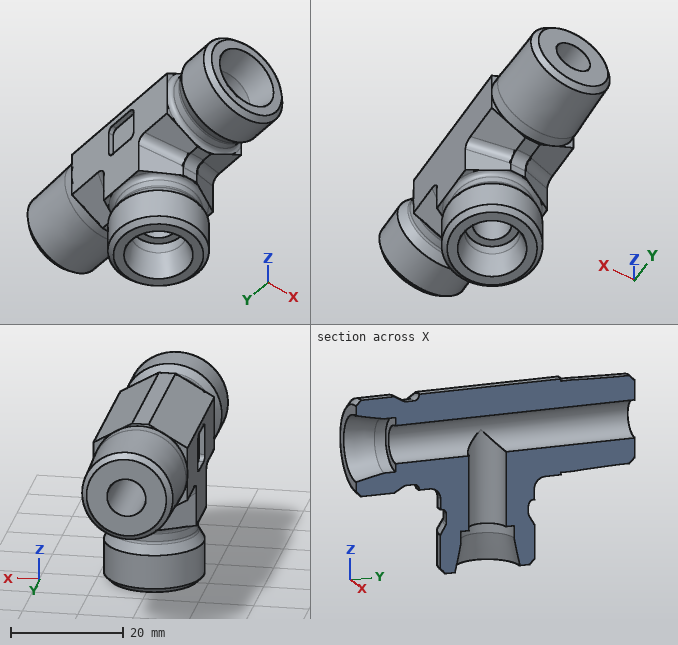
import cadquery as cq
import math


ACROSS_FLATS = 17.0
BODY_HEIGHT = 17.9
SHOULDER = 13.0
TAPER_SHOULDER = 14.0
CROTCH_RADIUS = 2.0

TUBE_END = 25.0
TUBE_END_RADIUS = 18 / 2
TUBE_END_CHAMFER = 1.0
NECK_RADIUS = 15.7 / 2
NECK_FILLET = 1.0
NECK_LENGTH = 2.7
NECK_CONE_ANGLE = 30
CONE_BLEND_RADIUS = 1.0

RUN_LENGTH = 53
TAPER_END = RUN_LENGTH - TUBE_END
TAPER_RADIUS = 17.1 / 2
TAPER_STRAIGHT_LENGTH = 2.0
TAPER_SLOPE = 1 / 32
TAPER_CHAMFER = 1.0

BORE_RADIUS = 7.0 / 2
SOCKET_RADIUS = 10.0 / 2
SOCKET_DEPTH = 7.5
SOCKET_MOUTH_RADIUS = 12.3 / 2
SOCKET_CONE_ANGLE = 12

RECESS_SIZE = 7.0
RECESS_CORNER = 1.0
RECESS_DEPTH = 1.0


def on_branch(solid):
    """Turn a solid built along -Y so that it points along -Z."""
    return solid.rotate((0, 0, 0), (1, 0, 0), 90)


def flattened_hexagon(start, end):
    """Bar along Y: a hexagon whose top and bottom corners are cut flat."""
    half_width = ACROSS_FLATS / 2
    half_height = BODY_HEIGHT / 2
    hexagon_slope = math.radians(30)
    slope = math.tan(hexagon_slope)
    side = half_width * slope
    corner = half_width / math.cos(hexagon_slope)
    flat = (corner - half_height) / slope
    return (
        cq.Workplane("XZ", origin=(0, start, 0))
        .polyline([
            (half_width, -side), (half_width, side), (flat, half_height), (-flat, half_height),
            (-half_width, side), (-half_width, -side), (-flat, -half_height), (flat, -half_height),
        ])
        .close()
        .extrude(start - end)
    )


def is_crotch_edge(edge):
    """True for the edges where run and branch meet, all in the two 45 degree planes below the run."""
    ends = (edge.startPoint(), edge.endPoint())
    return all(math.isclose(point.z, -abs(point.y), abs_tol=5.3e-05) for point in ends)


def make_body():
    run = flattened_hexagon(TAPER_SHOULDER, -SHOULDER)
    branch = on_branch(flattened_hexagon(0, -SHOULDER))
    body = run.union(branch)
    crotch_edges = [edge for edge in body.edges().vals() if is_crotch_edge(edge)]
    return body.newObject(crotch_edges).fillet(CROTCH_RADIUS)


def make_neck_fillet():
    """Concave ring between shoulder and neck, trimmed to the outline of the body."""
    arc_middle = NECK_FILLET * (1 - math.sqrt(0.5))
    fillet_end = -SHOULDER - NECK_FILLET
    ring = (
        cq.Workplane("XY")
        .moveTo(0, -SHOULDER)
        .lineTo(NECK_RADIUS + NECK_FILLET, -SHOULDER)
        .threePointArc((NECK_RADIUS + arc_middle, -SHOULDER - arc_middle), (NECK_RADIUS, fillet_end))
        .lineTo(0, fillet_end)
        .close()
        .revolve(360, (0, 0, 0), (0, 1, 0))
    )
    return ring.intersect(flattened_hexagon(-SHOULDER, fillet_end))


def make_tube_end():
    """Solid of revolution along -Y: neck, cone blended into the neck, cylinder and end chamfer."""
    cone_angle = math.radians(NECK_CONE_ANGLE)
    cone_start = -SHOULDER - NECK_LENGTH
    cone_end = cone_start - (TUBE_END_RADIUS - NECK_RADIUS) / math.tan(cone_angle)
    blend_length = CONE_BLEND_RADIUS * math.tan(cone_angle / 2)
    blend_end_radius = NECK_RADIUS + blend_length * math.sin(cone_angle)
    blend_end = cone_start - blend_length * math.cos(cone_angle)
    end = (
        cq.Workplane("XY")
        .moveTo(0, -SHOULDER)
        .lineTo(NECK_RADIUS, -SHOULDER)
        .lineTo(NECK_RADIUS, cone_start + blend_length)
        .tangentArcPoint((blend_end_radius, blend_end), relative=False)
        .lineTo(TUBE_END_RADIUS, cone_end)
        .lineTo(TUBE_END_RADIUS, -TUBE_END + TUBE_END_CHAMFER)
        .lineTo(TUBE_END_RADIUS - TUBE_END_CHAMFER, -TUBE_END)
        .lineTo(0, -TUBE_END)
        .close()
        .revolve(360, (0, 0, 0), (0, 1, 0))
    )
    return end.union(make_neck_fillet())


def make_taper_end():
    """Solid of revolution along +Y: a short cylinder, a slight taper and a chamfer."""
    taper_start = TAPER_SHOULDER + TAPER_STRAIGHT_LENGTH
    chamfer_start = TAPER_END - TAPER_CHAMFER
    small_radius = TAPER_RADIUS - TAPER_SLOPE * (chamfer_start - taper_start)
    return (
        cq.Workplane("XY")
        .moveTo(0, TAPER_SHOULDER)
        .lineTo(TAPER_RADIUS, TAPER_SHOULDER)
        .lineTo(TAPER_RADIUS, taper_start)
        .lineTo(small_radius, chamfer_start)
        .lineTo(small_radius - TAPER_CHAMFER, TAPER_END)
        .lineTo(0, TAPER_END)
        .close()
        .revolve(360, (0, 0, 0), (0, 1, 0))
    )


def make_bore():
    """Bore along -Y from the axis crossing, opening into a socket with a conical mouth."""
    cone_depth = (SOCKET_MOUTH_RADIUS - SOCKET_RADIUS) / math.tan(math.radians(SOCKET_CONE_ANGLE))
    return (
        cq.Workplane("XY")
        .moveTo(0, 0)
        .lineTo(BORE_RADIUS, 0)
        .lineTo(BORE_RADIUS, -TUBE_END + SOCKET_DEPTH)
        .lineTo(SOCKET_RADIUS, -TUBE_END + SOCKET_DEPTH)
        .lineTo(SOCKET_RADIUS, -TUBE_END + cone_depth)
        .lineTo(SOCKET_MOUTH_RADIUS, -TUBE_END)
        .lineTo(0, -TUBE_END)
        .close()
        .revolve(360, (0, 0, 0), (0, 1, 0))
    )


def make_taper_bore():
    """Plain bore along +Y from the axis crossing."""
    return cq.Workplane("XZ").circle(BORE_RADIUS).extrude(-TAPER_END)


def make_recess():
    return (
        cq.Workplane("YZ", origin=(-ACROSS_FLATS / 2, 0, 0))
        .rect(RECESS_SIZE, RECESS_SIZE)
        .extrude(RECESS_DEPTH)
        .edges("|X")
        .fillet(RECESS_CORNER)
    )


tube_end = make_tube_end()
bore = make_bore()

result = (
    make_body()
    .union(tube_end)
    .union(on_branch(tube_end))
    .union(make_taper_end())
    .cut(bore)
    .cut(on_branch(bore))
    .cut(make_taper_bore())
    .cut(make_recess())
)